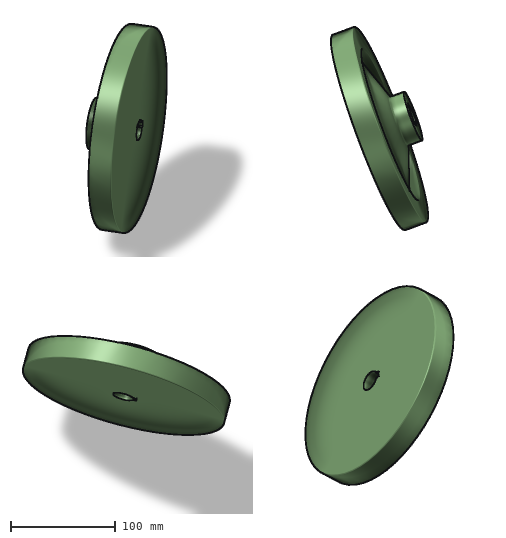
import cadquery as cq
import math

total_length = 46.0
wheel_radius = 100.0
rim_width = 23.02
rim_edge_radius = 1.2

hub_radius = 25.0
bore_radius = 10.0
keyway_width = 6.0
keyway_reach = 12.8

recess_diameter = 154.1
recess_radius = recess_diameter / 2
recess_mouth_fillet = 1.2
dish_angle = math.radians(20.0)
dish_start = 14.5
hub_fillet = 2.0
recess_fillet = 2.0

rim_face = total_length - rim_width
dish_slope = math.tan(dish_angle)
corner_depth = dish_start + dish_slope * (recess_radius - hub_radius)


def circle_at(depth, radius):
    """Selector for edges around the X axis at this depth, up to this radius."""
    tolerance = 0.01
    reach = radius + 1.0
    return cq.selectors.BoxSelector(
        (depth - tolerance, -reach, -reach),
        (depth + tolerance, reach, reach),
        boundingbox=True,
    )


def make_wheel():
    """Turned body: half profile in (axial, radial) revolved about X."""
    profile = (
        cq.Workplane("XY")
        .lineTo(0, hub_radius)
        .lineTo(dish_start, hub_radius)
        .lineTo(corner_depth, recess_radius)
        .lineTo(rim_face, recess_radius)
        .lineTo(rim_face, wheel_radius)
        .lineTo(total_length, wheel_radius)
        .lineTo(total_length, 0)
        .close()
    )
    return profile.revolve(360, (0, 0, 0), (1, 0, 0))


def round_edges(wheel):
    """Fillet both ends of the dish, the recess mouth and both outer rim edges."""
    wheel = wheel.edges(circle_at(dish_start, hub_radius)).fillet(hub_fillet)
    wheel = wheel.edges(circle_at(corner_depth, recess_radius)).fillet(recess_fillet)
    wheel = wheel.edges(circle_at(rim_face, recess_radius)).fillet(recess_mouth_fillet)
    for depth in (rim_face, total_length):
        outer_edge = cq.selectors.RadiusNthSelector(-1)
        wheel = wheel.edges(circle_at(depth, wheel_radius)).edges(outer_edge).fillet(rim_edge_radius)
    return wheel


def make_keyed_bore():
    """Through bore with a keyway on the +Y side."""
    bore = cq.Workplane("YZ").circle(bore_radius).extrude(total_length)
    keyway = (
        cq.Workplane("YZ")
        .center(keyway_reach / 2, 0)
        .rect(keyway_reach, keyway_width)
        .extrude(total_length)
    )
    return bore.union(keyway)


result = round_edges(make_wheel()).cut(make_keyed_bore())